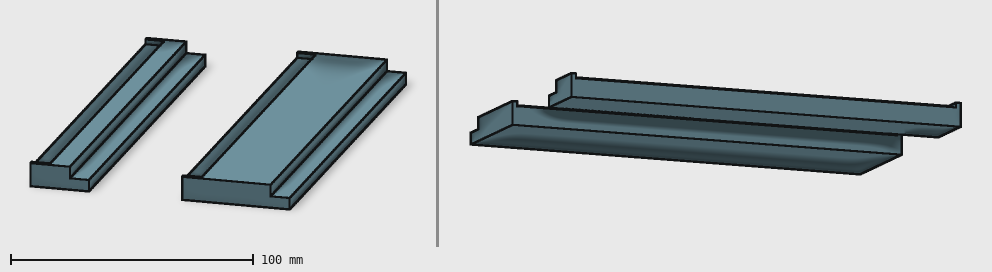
import cadquery as cq

length = 173.0
thickness = 10.0
overall_width = 111.2
narrow_width = 25.0
wide_width = 46.2

rebate_width = 8.1
tongue_thickness = thickness / 2

recess_width = 8.0
recess_depth = 2.0
end_lip = 2.0


def board_blank(width):
    """Stepped profile in XZ, extruded along the board's length."""
    shoulder_x = width - rebate_width
    return (
        cq.Workplane("XZ")
        .moveTo(0, 0)
        .lineTo(width, 0)
        .lineTo(width, tongue_thickness)
        .lineTo(shoulder_x, tongue_thickness)
        .lineTo(shoulder_x, thickness)
        .lineTo(0, thickness)
        .close()
        .extrude(length / 2, both=True)
    )


def edge_recess():
    """Volume removed from the top of the -X edge."""
    return cq.Workplane("XY").box(
        recess_width, length - 2 * end_lip, recess_depth, centered=(False, True, False)
    ).translate((0, 0, thickness - recess_depth))


def board(width, left_x):
    """One complete board whose -X side lies at left_x."""
    return board_blank(width).cut(edge_recess()).translate((left_x, 0, 0))


narrow_board = board(narrow_width, 0)
wide_board = board(wide_width, overall_width - wide_width)

result = cq.Compound.makeCompound([narrow_board.val(), wide_board.val()])